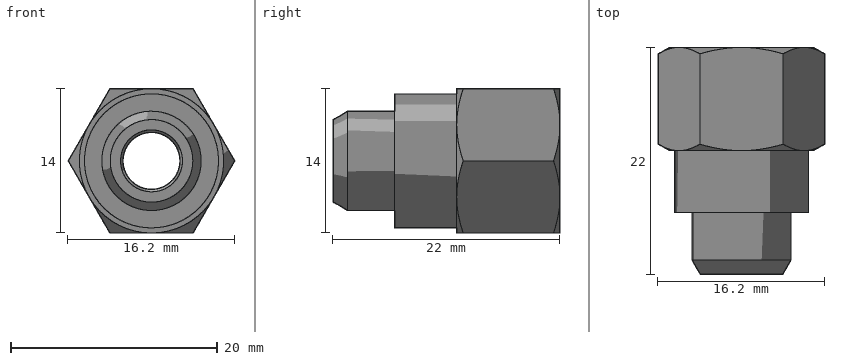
import cadquery as cq
import math

total_length = 22.0
hex_across_flats = 14.0
hex_length = 10.0
collar_diameter = 13.0
collar_length = 6.0
tip_diameter = 9.64
tip_end_diameter = 8.0
tip_taper_length = 1.4
bore_diameter = 5.5
bore_mouth_diameter = 6.0
corner_chamfer_angle = 30.0

hex_across_corners = hex_across_flats / math.cos(math.radians(30))
corner_depth = (hex_across_corners - hex_across_flats) / 2
corner_chamfer_length = corner_depth * math.tan(math.radians(corner_chamfer_angle))
mouth_chamfer = (bore_mouth_diameter - bore_diameter) / 2
collar_end = total_length - hex_length
tip_length = collar_end - collar_length


def revolve_about_y(profile):
    """Turn a closed (radius, y) profile into a solid of revolution about Y."""
    return cq.Workplane("XY").polyline(profile).close().revolve(360, (0, 0, 0), (0, 1, 0))


def make_hex_head():
    """Hexagonal prism with corners on X, its corners coned off at both ends."""
    prism = (
        cq.Workplane("XZ", origin=(0, total_length, 0))
        .polygon(6, hex_across_corners)
        .extrude(hex_length)
    )
    flat_radius = hex_across_flats / 2
    corner_radius = hex_across_corners / 2
    cone_envelope = revolve_about_y([
        (0, collar_end),
        (flat_radius, collar_end),
        (corner_radius, collar_end + corner_chamfer_length),
        (corner_radius, total_length - corner_chamfer_length),
        (flat_radius, total_length),
        (0, total_length),
    ])
    return prism.intersect(cone_envelope)


def make_stepped_shank():
    """Collar followed by the tip, which tapers towards its free end."""
    return revolve_about_y([
        (0, 0),
        (tip_end_diameter / 2, 0),
        (tip_diameter / 2, tip_taper_length),
        (tip_diameter / 2, tip_length),
        (collar_diameter / 2, tip_length),
        (collar_diameter / 2, collar_end),
        (0, collar_end),
    ])


def make_bore():
    """Through bore with a chamfered mouth at the tip."""
    return revolve_about_y([
        (0, 0),
        (bore_mouth_diameter / 2, 0),
        (bore_diameter / 2, mouth_chamfer),
        (bore_diameter / 2, total_length),
        (0, total_length),
    ])


result = make_hex_head().union(make_stepped_shank()).cut(make_bore())